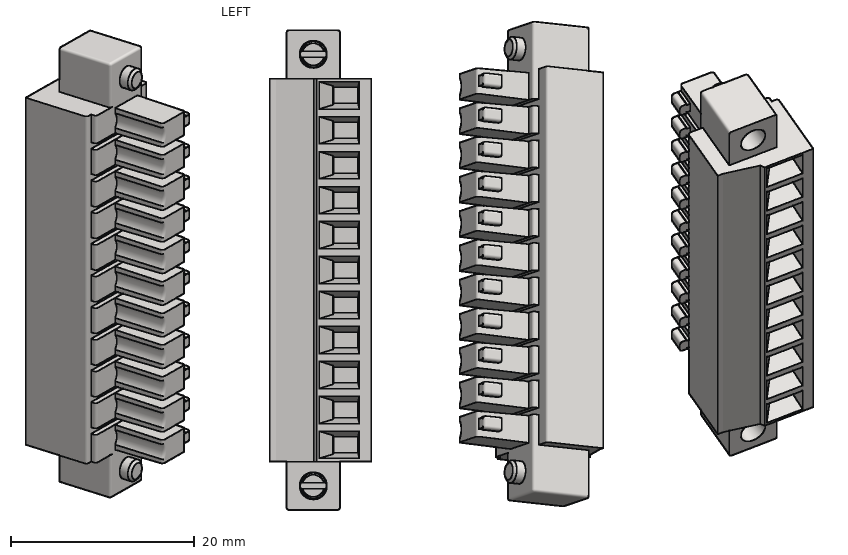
import cadquery as cq
import math

total_length = 52.3
body_length = 41.75
body_depth = 8.3
body_width = 11.1
edge_radius = 0.3

ledge_depth = 1.25
ledge_y = 10.4
slope_end_depth = 0.45
slope_end_y = 6.3
front_face_y = 5.95

contact_count = 11
contact_span = 38.1
contact_pitch = contact_span / (contact_count - 1)
contact_heights = [(i - (contact_count - 1) / 2) * contact_pitch for i in range(contact_count)]

plate_end_x = 9.0
plate_low_y = 0.8
plate_height = 3.05

flange_start_x = 2.05
flange_low_y = 3.4
flange_high_y = 9.25
flange_length = (total_length - body_length) / 2
flange_center_y = (flange_low_y + flange_high_y) / 2

finger_end_x = 15.5
finger_low_y = 4.25
finger_high_y = 8.3
finger_tip_height = 2.8
groove_diameter = 2.8
groove_opening = 1.8

ridge_start_x = 13.1
ridge_end_x = 15.3
ridge_stem_y = 8.75
ridge_top_y = 9.55
ridge_cap_height = 1.45
ridge_stem_height = 1.15

opening_depth = 3.05
mouth_low_y = 1.3
mouth_high_y = 5.7
mouth_height = 3.0
floor_low_y = 1.45
floor_high_y = 4.1
floor_height = 1.75
ramp_depth = 2.25
ramp_end_y = 4.2

screw_hole_diameter = 3.0
screw_head_diameter = 2.8
screw_head_chamfer = 0.2
screw_head_x = 6.3
screw_seat_x = 6.9
screw_slot_width = 0.65
screw_tip_diameter = 2.5
screw_tip_x = 10.4
screw_tip_chamfer = 0.3


def box(x_range, y_range, z_range):
    """Box between the given limits along each axis."""
    size = [high - low for low, high in (x_range, y_range, z_range)]
    return cq.Workplane("XY").box(*size, centered=False).translate(
        (x_range[0], y_range[0], z_range[0])
    )


def x_cylinder(diameter, center_y, center_z, start_x, end_x):
    """Cylinder along X."""
    return (
        cq.Workplane("YZ", origin=(start_x, center_y, center_z))
        .circle(diameter / 2)
        .extrude(end_x - start_x)
    )


def make_body():
    outline = [
        (0, 0),
        (body_depth, 0),
        (body_depth, body_width),
        (ledge_depth, body_width),
        (ledge_depth, ledge_y),
        (slope_end_depth, slope_end_y),
        (0, front_face_y),
    ]
    body = cq.Workplane("XY").polyline(outline).close().extrude(body_length / 2, both=True)
    return body.edges("|Z and >X").fillet(edge_radius)


def make_flange():
    """Upper screw flange; every edge is rounded except those of its -X face."""
    flange = box(
        (flange_start_x, plate_end_x),
        (flange_low_y, flange_high_y),
        (body_length / 2 - edge_radius, total_length / 2),
    )
    return flange.edges(">Z or >X").edges("not(<X or <Z)").fillet(edge_radius)


def make_plate(low_z, high_z):
    """Finger base plate with rounded outer edges; it starts inside the body."""
    plate = box(
        (body_depth - edge_radius, plate_end_x), (plate_low_y, flange_high_y), (low_z, high_z)
    )
    return plate.edges("|Z and >X").fillet(edge_radius)


def make_finger():
    """Contact finger at Z = 0, tapering in height and grooved along its -Y side."""
    mid_y = (finger_low_y + finger_high_y) / 2
    width = finger_high_y - finger_low_y
    taper = [
        (body_depth, plate_height / 2),
        (finger_end_x, finger_tip_height / 2),
        (finger_end_x, -finger_tip_height / 2),
        (body_depth, -plate_height / 2),
    ]
    finger = (
        cq.Workplane("XZ", origin=(0, mid_y, 0)).polyline(taper).close().extrude(width / 2, both=True)
    )
    groove_center_offset = math.sqrt(groove_diameter**2 - groove_opening**2) / 2
    groove = x_cylinder(groove_diameter, finger_low_y - groove_center_offset, 0, plate_end_x, finger_end_x)
    finger = finger.cut(groove)
    tip_edges = finger.faces(">X").edges("not(<Z or >Z)")
    return tip_edges.fillet(edge_radius)


def make_ridge():
    stem = box(
        (ridge_start_x, ridge_end_x),
        (finger_high_y - edge_radius, ridge_top_y - edge_radius),
        (-ridge_stem_height / 2, ridge_stem_height / 2),
    )
    cap = box(
        (ridge_start_x, ridge_end_x),
        (ridge_stem_y, ridge_top_y),
        (-ridge_cap_height / 2, ridge_cap_height / 2),
    )
    cap = cap.edges("(|X and >Y) or (>X and (not <Y))").fillet(edge_radius)
    return stem.union(cap)


def make_wire_opening():
    """Wire opening at Z = 0: its height tapers to the floor, and a ramp ends its +Y side early."""
    side_taper = [
        (0, mouth_height / 2),
        (opening_depth, floor_height / 2),
        (opening_depth, -floor_height / 2),
        (0, -mouth_height / 2),
    ]
    ramp_outline = [
        (0, mouth_low_y),
        (opening_depth, floor_low_y),
        (opening_depth, floor_high_y),
        (ramp_depth, ramp_end_y),
        (0, mouth_high_y),
    ]
    tapered_slab = cq.Workplane("XZ").polyline(side_taper).close().extrude(-body_width)
    ramp_prism = cq.Workplane("XY").polyline(ramp_outline).close().extrude(mouth_height / 2, both=True)
    return tapered_slab.intersect(ramp_prism)


def make_screw(center_z):
    head = x_cylinder(screw_head_diameter, flange_center_y, center_z, screw_head_x, screw_seat_x)
    head = head.faces("<X").chamfer(screw_head_chamfer)
    slot = box(
        (screw_head_x, (screw_head_x + screw_seat_x) / 2),
        (flange_low_y, flange_high_y),
        (center_z - screw_slot_width / 2, center_z + screw_slot_width / 2),
    )
    tip = x_cylinder(screw_tip_diameter, flange_center_y, center_z, screw_seat_x, screw_tip_x)
    tip = tip.faces(">X").chamfer(screw_tip_chamfer)
    return head.cut(slot).union(tip)


upper_flange = make_flange()
housing = make_body().union(upper_flange).union(upper_flange.mirror("XY"))

for height in contact_heights:
    low_z = height - plate_height / 2
    high_z = height + plate_height / 2
    if height == contact_heights[0]:
        low_z = -body_length / 2
    if height == contact_heights[-1]:
        high_z = body_length / 2
    housing = housing.union(make_plate(low_z, high_z))

finger = make_finger().union(make_ridge())
wire_opening = make_wire_opening()
for height in contact_heights:
    housing = housing.union(finger.translate((0, 0, height)))
    housing = housing.cut(wire_opening.translate((0, 0, height)))

screw_height = (total_length - flange_length) / 2
for center_z in (-screw_height, screw_height):
    hole = x_cylinder(screw_hole_diameter, flange_center_y, center_z, flange_start_x, screw_seat_x)
    housing = housing.cut(hole).union(make_screw(center_z))

result = housing